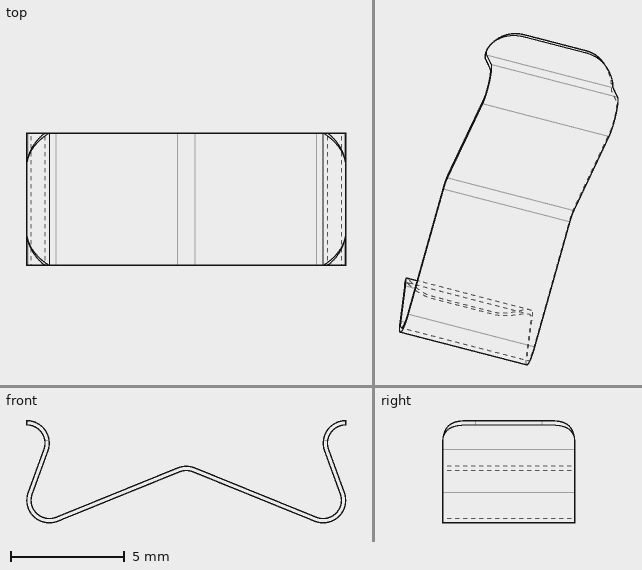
import math

import cadquery as cq

length = 14.0
width = 5.8
height = 4.5
crest_height = 2.49
thickness = 0.2
bend_radius = 1.0
corner_radius = 1.5
corner_gap = 0.001

inner_radius = bend_radius - thickness
middle_radius = bend_radius - thickness / 2

lip_centre = (-length / 2, height - bend_radius)
foot_centre = (-length / 2 + bend_radius, bend_radius)
crest_centre = (0.0, crest_height - bend_radius)


def crossing_angle(start, end):
    """Half-opening between the centre line and the strip that crosses it."""
    return math.asin(2 * middle_radius / math.dist(start, end))


def heading(start, end):
    """Direction from one bend centre to another."""
    return math.atan2(end[1] - start[1], end[0] - start[0])


def on_bend(centre, radius, angle):
    """Point on a bend at the given polar angle."""
    return (centre[0] + radius * math.cos(angle), centre[1] + radius * math.sin(angle))


leg_direction = heading(foot_centre, lip_centre) - crossing_angle(foot_centre, lip_centre)
base_slope = heading(foot_centre, crest_centre) + crossing_angle(foot_centre, crest_centre)
upright = math.pi / 2
lip_end = leg_direction - upright
foot_start = leg_direction + upright
foot_end = base_slope + 3 * upright
crest_start = base_slope + upright


def bend_points(centre, radius, start, end):
    """Start, middle and end points of a bend arc."""
    return [on_bend(centre, radius, angle) for angle in (start, (start + end) / 2, end)]


def half_strip():
    """Left half of the bent strip, before its corners are rounded."""
    upper = [
        bend_points(lip_centre, bend_radius, upright, lip_end),
        bend_points(foot_centre, inner_radius, foot_start, foot_end),
        bend_points(crest_centre, bend_radius, crest_start, upright),
    ]
    lower = [
        bend_points(crest_centre, inner_radius, upright, crest_start),
        bend_points(foot_centre, bend_radius, foot_end, foot_start),
        bend_points(lip_centre, inner_radius, lip_end, upright),
    ]
    outline = cq.Workplane("XZ").moveTo(*upper[0][0])
    for index, (start, middle, end) in enumerate(upper + lower):
        if index > 0:
            outline = outline.lineTo(*start)
        outline = outline.threePointArc(middle, end)
    return outline.close().extrude(width / 2, both=True)


def corner_curve(radius):
    """Corner rounding wrapped around the lip, at a given distance from its axis."""
    samples = 12
    points = []
    for step in range(samples + 1):
        turn = upright * step / samples
        along = corner_radius * (1 - math.cos(turn))
        inset = corner_radius * (1 - math.sin(turn))
        x, z = on_bend(lip_centre, radius, upright - along / bend_radius)
        points.append(cq.Vector(x, inset - width / 2, z))
    return cq.Edge.makeSpline(points)


def corner_cutter():
    """Waste outside the front lip corner, bounded by a wall square to the strip."""
    inside = corner_curve(inner_radius - thickness)
    outside = corner_curve(bend_radius + thickness)
    wall = cq.Face.makeRuledSurface(inside, outside)
    sweep = cq.Vector(0, -2 * corner_radius, 0)
    waste = cq.Workplane(cq.Solid.extrudeLinear(wall, sweep))
    return waste.translate((-corner_gap, -corner_gap, 0))


cutter = corner_cutter()
left_half = half_strip().cut(cutter).cut(cutter.mirror("XZ"))
result = left_half.union(left_half.mirror("YZ"))